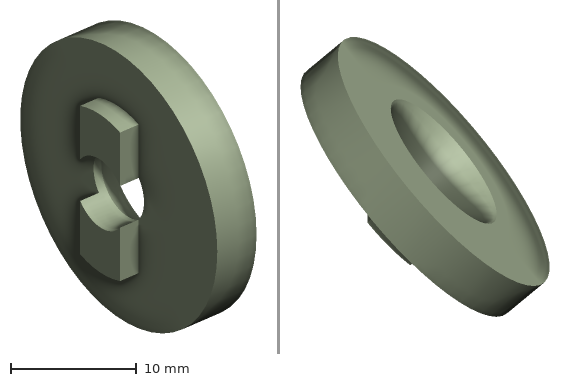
import cadquery as cq

disc_diameter = 25.0
disc_thickness = 4.0
hole_diameter = 6.4
countersink_diameter = 12.5
hole_land = 0.8
tab_width = 5.05
tab_outer_diameter = 14.9
tab_height = 1.9

total_depth = disc_thickness + tab_height


def cylinder_along_y(diameter, length):
    """Cylinder on the Y axis, centred on the part, starting at the disc face y = 0."""
    return cq.Workplane("XZ").circle(diameter / 2).extrude(-length)


disc = cylinder_along_y(disc_diameter, disc_thickness)

tab_round = cylinder_along_y(tab_outer_diameter, total_depth)
tab_bar = cq.Workplane("XZ").rect(tab_width, tab_outer_diameter).extrude(-total_depth)
tabs = tab_round.intersect(tab_bar).translate((0, -tab_height, 0))

hole = cylinder_along_y(hole_diameter, total_depth).translate((0, -tab_height, 0))

countersink_depth = disc_thickness - hole_land
countersink = (
    cq.Workplane("XZ", origin=(0, hole_land, 0))
    .circle(hole_diameter / 2)
    .workplane(offset=-countersink_depth)
    .circle(countersink_diameter / 2)
    .loft()
)

result = disc.union(tabs).cut(hole).cut(countersink)